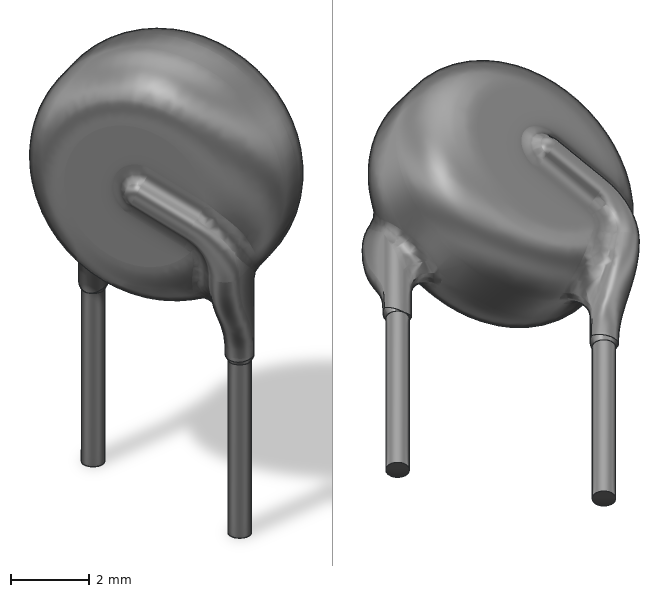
import math

import cadquery as cq

DISC_DIAMETER = 7.0
DISC_THICKNESS = 3.8
DISC_ROUND = 1.5

LEAD_DIAMETER = 0.6
LEAD_X = 2.5
LEAD_Y = 1.0
LEAD_BOTTOM_Z = -9.61

COAT_RADIUS = 0.4
COAT_BOTTOM_Z = -4.4
COAT_TAPER = 0.2
COAT_EDGE_ROUND = 0.38
COAT_LEAN = 0.05
DISC_BLEND = 0.55

SEAM_TOLERANCE = 0.001
HALF_TURN = 180

ARM_END_X = 0.13
ARM_SLOPE = math.radians(22.5)
BEND_RADIUS = 1.35
BEND_BOTTOM_Z = -1.73

FACE_Y = DISC_THICKNESS / 2
COAT_INNER_Y = LEAD_Y - LEAD_DIAMETER / 2
COAT_END_Y = LEAD_Y - COAT_LEAN


def make_disc():
    back = cq.Plane(origin=(0, FACE_Y, 0), xDir=(-1, 0, 0), normal=(0, -1, 0))
    disc = cq.Workplane(back).circle(DISC_DIAMETER / 2).extrude(DISC_THICKNESS)
    return disc.faces("<Y or >Y").edges().fillet(DISC_ROUND)


def bend_point(angle):
    """Point on the bend centreline, as an angle from +X about the bend centre."""
    return (
        LEAD_X - BEND_RADIUS + BEND_RADIUS * math.cos(angle),
        BEND_BOTTOM_Z + BEND_RADIUS * math.sin(angle),
    )


def make_arm():
    """Round-ended tube along the front face, bending down towards the lead."""
    start_angle = math.pi / 2 - ARM_SLOPE
    bend_start = bend_point(start_angle)
    bend_middle = bend_point(start_angle / 2)
    arm_end_z = bend_start[1] + (bend_start[0] - ARM_END_X) * math.tan(ARM_SLOPE)

    face = cq.Workplane("XZ", origin=(0, -FACE_Y, 0))
    path = (
        face.moveTo(ARM_END_X, arm_end_z)
        .lineTo(*bend_start)
        .threePointArc(bend_middle, (LEAD_X, BEND_BOTTOM_Z))
    )
    section = cq.Plane(
        origin=(ARM_END_X, -FACE_Y, arm_end_z),
        xDir=(0, 1, 0),
        normal=(math.cos(ARM_SLOPE), 0, -math.sin(ARM_SLOPE)),
    )
    depth = FACE_Y - COAT_INNER_Y
    edge_flat = COAT_RADIUS - COAT_EDGE_ROUND
    tube = (
        cq.Workplane(section)
        .moveTo(0, COAT_RADIUS)
        .threePointArc((-COAT_RADIUS, 0), (0, -COAT_RADIUS))
        .lineTo(depth - COAT_EDGE_ROUND, -COAT_RADIUS)
        .radiusArc((depth, -edge_flat), -COAT_EDGE_ROUND)
        .lineTo(depth, edge_flat)
        .radiusArc((depth - COAT_EDGE_ROUND, COAT_RADIUS), -COAT_EDGE_ROUND)
        .close()
        .sweep(path)
    )
    tip = cq.Workplane(section).sphere(COAT_RADIUS)
    return tube.union(tip)


def make_drop():
    """Tube from the bend down to the lead, with a web filling in towards the disc."""
    side = cq.Plane.named("YZ", origin=(LEAD_X, 0, 0))
    ends = [(-FACE_Y, BEND_BOTTOM_Z), (-COAT_END_Y, COAT_BOTTOM_Z)]
    downward = [(0, -1), (0, -1)]

    path = cq.Workplane(side).spline(ends, tangents=downward)
    tube = cq.Workplane("XY", origin=(LEAD_X, -FACE_Y, BEND_BOTTOM_Z)).circle(COAT_RADIUS).sweep(path)
    web = (
        cq.Workplane(side)
        .spline(ends, tangents=downward)
        .lineTo(-COAT_INNER_Y, COAT_BOTTOM_Z)
        .lineTo(-COAT_INNER_Y, BEND_BOTTOM_Z)
        .close()
        .extrude(COAT_RADIUS, both=True)
    )
    taper = (
        cq.Workplane("XY", origin=(LEAD_X, -LEAD_Y, COAT_BOTTOM_Z))
        .circle(COAT_RADIUS)
        .workplane(offset=-COAT_TAPER)
        .circle(LEAD_DIAMETER / 2)
        .loft()
    )
    taper_bottom_z = COAT_BOTTOM_Z - COAT_TAPER
    taper_limit = (
        cq.Workplane("XY", origin=(LEAD_X, -COAT_END_Y, taper_bottom_z))
        .circle(COAT_RADIUS)
        .extrude(COAT_TAPER)
    )
    envelope = (
        cq.Workplane("XY", origin=(LEAD_X, -COAT_INNER_Y - DISC_THICKNESS, taper_bottom_z))
        .rect(2 * COAT_RADIUS, 2 * DISC_THICKNESS)
        .extrude(BEND_BOTTOM_Z - taper_bottom_z)
        .edges("|Z and >Y")
        .fillet(COAT_EDGE_ROUND)
    )
    return tube.union(web).union(taper.intersect(taper_limit)).intersect(envelope)


def make_lead():
    return (
        cq.Workplane("XY", origin=(LEAD_X, -LEAD_Y, LEAD_BOTTOM_Z))
        .circle(LEAD_DIAMETER / 2)
        .extrude(COAT_BOTTOM_Z - LEAD_BOTTOM_Z)
    )


def blend_to_disc(disc, coat):
    """Add one lead coating to the disc, with a concave blend where the two surfaces meet."""
    skins = [disc.val().Shells()[0], coat.val().Shells()[0]]

    def on_both_skins(edge):
        middle = cq.Vertex.makeVertex(*edge.positionAt(0.5).toTuple())
        return all(skin.distance(middle) < SEAM_TOLERANCE for skin in skins)

    return disc.union(coat).edges().filter(on_both_skins).fillet(DISC_BLEND)


def turn(shape):
    """Half a turn about Z, to the opposite lead."""
    return shape.rotate((0, 0, 0), (0, 0, 1), HALF_TURN)


coat = make_arm().union(make_drop())
one_side = blend_to_disc(make_disc(), coat).union(make_lead())
result = one_side.union(turn(one_side))